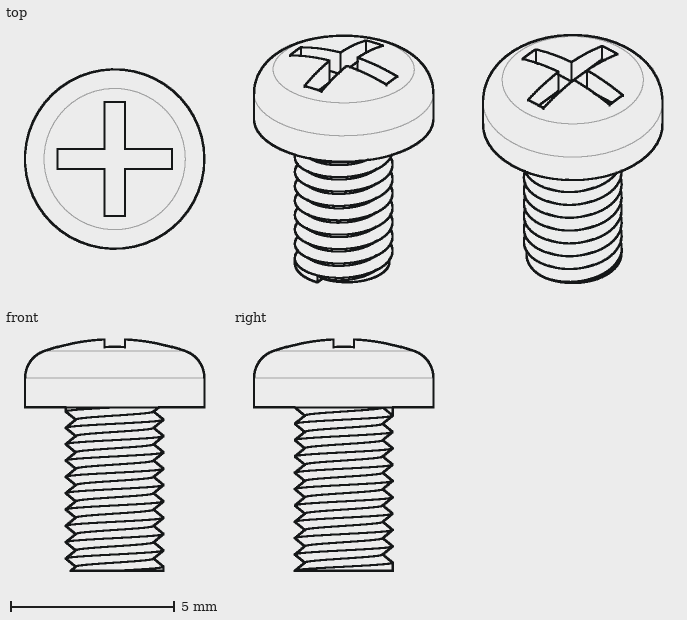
import cadquery as cq
import math

shank_diameter = 3.0
shank_length = 5.0
thread_pitch = 0.5
thread_depth_ratio = 0.61343
thread_depth = thread_depth_ratio * thread_pitch

head_diameter = 5.5
head_height = 2.1
rim_height = 0.9
edge_radius = 0.88

recess_length = 3.5
recess_width = 0.62
recess_depth = 0.77

cutter_clearance = 0.1


def make_thread_cutter():
    """Sharp V groove along a right-handed helix, starting on the +Y side at Z = 0."""
    shank_radius = shank_diameter / 2
    root_radius = shank_radius - thread_depth
    outer_radius = shank_radius + cutter_clearance
    half_mouth = thread_pitch / 2 * (outer_radius - root_radius) / thread_depth
    path = cq.Wire.makeHelix(thread_pitch, shank_length, shank_radius)
    cutter = (
        cq.Workplane("XZ")
        .moveTo(root_radius, 0)
        .lineTo(outer_radius, half_mouth)
        .lineTo(outer_radius, -half_mouth)
        .close()
        .sweep(cq.Workplane(obj=path), isFrenet=True)
    )
    return cutter.rotate((0, 0, 0), (0, 0, 1), 90)


def make_shank():
    shank = cq.Workplane("XY").circle(shank_diameter / 2).extrude(shank_length)
    return shank.cut(make_thread_cutter())


def make_head():
    """Pan head: a straight rim, a rounded edge and a shallow dome, all tangent."""
    head_radius = head_diameter / 2
    top_z = shank_length + head_height
    edge_center_x = head_radius - edge_radius
    edge_center_z = shank_length + rim_height

    dome_rise = top_z - edge_center_z
    dome_radius = (edge_center_x**2 + dome_rise**2 - edge_radius**2) / (2 * (dome_rise - edge_radius))
    dome_center_z = top_z - dome_radius

    dome_angle = math.asin(edge_center_x / (dome_radius - edge_radius))

    def dome_point(angle):
        return (dome_radius * math.sin(angle), dome_center_z + dome_radius * math.cos(angle))

    edge_middle_angle = (dome_angle + math.pi / 2) / 2
    edge_middle = (
        edge_center_x + edge_radius * math.sin(edge_middle_angle),
        edge_center_z + edge_radius * math.cos(edge_middle_angle),
    )
    return (
        cq.Workplane("XZ")
        .moveTo(0, shank_length)
        .lineTo(head_radius, shank_length)
        .lineTo(head_radius, edge_center_z)
        .threePointArc(edge_middle, dome_point(dome_angle))
        .threePointArc(dome_point(dome_angle / 2), (0, top_z))
        .close()
        .revolve(360, (0, 0, 0), (0, 1, 0))
    )


def make_recess():
    """Flat-bottomed cross recess with its arms along X and Y."""
    floor = cq.Workplane("XY").workplane(offset=shank_length + head_height - recess_depth)
    arm_x = floor.rect(recess_length, recess_width).extrude(recess_depth)
    arm_y = floor.rect(recess_width, recess_length).extrude(recess_depth)
    return arm_x.union(arm_y)


result = make_shank().union(make_head().cut(make_recess()))